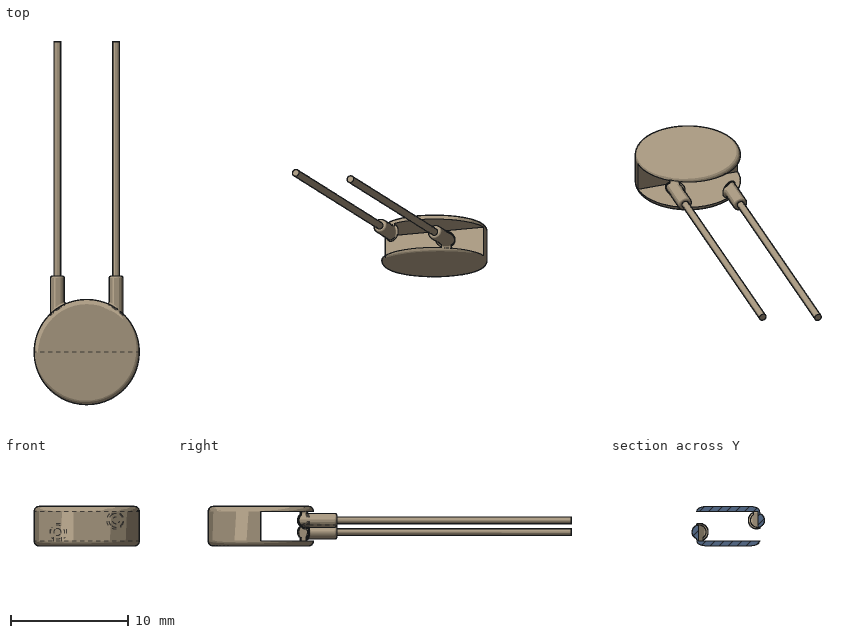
import cadquery as cq
import math

body_radius = 4.5
body_height = 3.4
rim_fillet = 0.45
flange_underside = body_height / 2 - rim_fillet

lead_offset_x = 2.5
lead_offset_z = 0.5
wire_radius = 0.3
wire_end_y = 26.5

sleeve_radius = 0.6
sleeve_end_y = 6.5
sleeve_tip_fillet = 0.2
sleeve_root_fillet = 0.14

web_width = 0.7
web_thickness = 0.1
web_inner_radius = body_radius - web_thickness


def rod_along_y(side, radius, start_y, end_y):
    """Round rod on the lead axis of one side, running from start_y to end_y."""
    axis_start = (side * lead_offset_x, start_y, side * lead_offset_z)
    plane = cq.Plane(origin=axis_start, xDir=(1, 0, 0), normal=(0, 1, 0))
    return cq.Workplane(plane).circle(radius).extrude(end_y - start_y)


def make_disc():
    disc = cq.Workplane("XY").circle(body_radius).extrude(body_height / 2, both=True)
    return disc.edges().fillet(rim_fillet)


def make_sleeve(side):
    sleeve = rod_along_y(side, sleeve_radius, 0, sleeve_end_y)
    return sleeve.faces(">Y").edges().fillet(sleeve_tip_fillet)


def sleeve_root_box(side):
    """Selector for the edge where a sleeve meets the body wall."""
    x = side * lead_offset_x
    z = side * lead_offset_z
    wall_y = math.sqrt(body_radius**2 - lead_offset_x**2)
    reach = sleeve_radius
    return cq.selectors.BoxSelector(
        (x - reach, wall_y - reach, z - reach),
        (x + reach, wall_y + reach, z + reach),
    )


def make_web(side):
    """Slice of the body wall behind one sleeve, reaching to the nearer flange."""
    ring = (
        cq.Workplane("XY")
        .circle(body_radius)
        .circle(web_inner_radius)
        .extrude(flange_underside, both=True)
    )
    column = (
        cq.Workplane("XY", origin=(side * lead_offset_x, body_radius / 2, side * lead_offset_z))
        .rect(web_width, body_radius)
        .extrude(side * (flange_underside - lead_offset_z))
    )
    plug = rod_along_y(side, sleeve_radius, 0, body_radius)
    return ring.intersect(column.union(plug))


def make_opening():
    """Gap between the two flanges over the +Y half, clear of the webs."""
    opening = (
        cq.Workplane("XY")
        .moveTo(-body_radius, 0)
        .threePointArc((0, body_radius), (body_radius, 0))
        .close()
        .extrude(flange_underside, both=True)
    )
    for side in (-1, 1):
        opening = opening.cut(make_web(side))
    return opening


result = make_disc()
for side in (-1, 1):
    result = result.union(make_sleeve(side))
    result = result.edges(sleeve_root_box(side)).fillet(sleeve_root_fillet)
result = result.cut(make_opening())
for side in (-1, 1):
    result = result.union(rod_along_y(side, wire_radius, sleeve_end_y, wire_end_y))